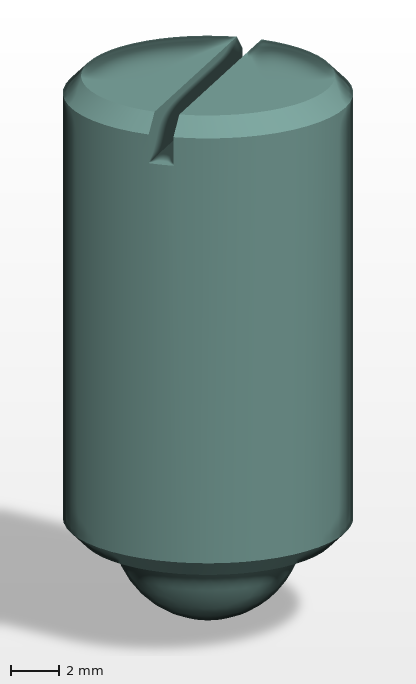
import cadquery as cq

total_length = 23.5
body_diameter = 12.0
ball_protrusion = 3.5
ball_diameter = 8.0
end_chamfer = 0.75
slot_width = 1.08
slot_depth = 2.0

body_length = total_length - ball_protrusion
ball_radius = ball_diameter / 2

body = (
    cq.Workplane("XY")
    .circle(body_diameter / 2)
    .extrude(body_length)
    .faces("<Z or >Z")
    .chamfer(end_chamfer)
)

slot = (
    cq.Workplane("XY")
    .box(slot_width, body_diameter, slot_depth, centered=(True, True, False))
    .translate((0, 0, body_length - slot_depth))
)

ball = cq.Workplane("XY").sphere(ball_radius).translate((0, 0, ball_radius - ball_protrusion))

result = body.cut(slot).union(ball)